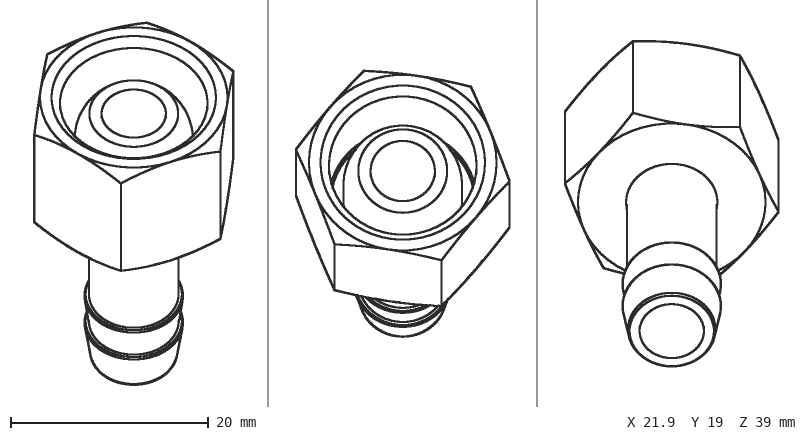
import cadquery as cq
import math

total_height = 39.0
nut_height = 15.0
hexagon_sides = 6
across_flats = 19.0
corner_chamfer_angle = 30.0
nut_bottom = total_height - nut_height

bore_radius = 14.95 / 2
mouth_chamfer = 0.85
cavity_depth = 11.0
floor_radius = 14.5 / 2
floor_z = total_height - cavity_depth
floor_chamfer = bore_radius - floor_radius

ball_radius = 12.0 / 2
nose_face_radius = 9.0 / 2
nose_recess = 2.45
nose_top = total_height - nose_recess
ball_center_z = nose_top - math.sqrt(ball_radius**2 - nose_face_radius**2)

through_radius = 6.5 / 2
stem_radius = 9.1 / 2
collar_radius = 9.25 / 2
collar_height = 0.3
barb_radius = 10.0 / 2
barb_tops = (4.9, 9.0)
barb_edge = 0.25
barb_edge_inset = 0.1
tip_radius = 8.85 / 2
tip_chamfer = 0.3
tip_chamfer_inset = 0.15


def revolve_profile(points):
    """Revolve a closed (radius, height) outline around the Z axis."""
    return cq.Workplane("XZ").polyline(points).close().revolve(360, (0, 0), (0, 1))


def make_nut():
    """Hexagon with both ends turned to a cone that meets the flats."""
    flat_radius = across_flats / 2
    corner_radius = flat_radius / math.cos(math.pi / hexagon_sides)
    chamfer_height = (corner_radius - flat_radius) * math.tan(math.radians(corner_chamfer_angle))
    hexagon = (
        cq.Workplane("XY", origin=(0, 0, nut_bottom))
        .polygon(hexagon_sides, 2 * corner_radius)
        .extrude(nut_height)
    )
    turned_envelope = revolve_profile([
        (0, nut_bottom),
        (flat_radius, nut_bottom),
        (corner_radius, nut_bottom + chamfer_height),
        (corner_radius, total_height - chamfer_height),
        (flat_radius, total_height),
        (0, total_height),
    ])
    return hexagon.intersect(turned_envelope)


def make_cavity():
    """Bore with a chamfered mouth and a small chamfer at its floor."""
    return revolve_profile([
        (0, floor_z),
        (floor_radius, floor_z),
        (bore_radius, floor_z + floor_chamfer),
        (bore_radius, total_height - mouth_chamfer),
        (bore_radius + mouth_chamfer, total_height),
        (0, total_height),
    ])


def make_nose():
    """Cylinder ending in a ball with a flat sealing face."""
    arc_angle = math.acos(nose_face_radius / ball_radius) / 2
    arc_middle = (
        ball_radius * math.cos(arc_angle),
        ball_center_z + ball_radius * math.sin(arc_angle),
    )
    return (
        cq.Workplane("XZ")
        .moveTo(0, nut_bottom)
        .lineTo(ball_radius, nut_bottom)
        .lineTo(ball_radius, ball_center_z)
        .threePointArc(arc_middle, (nose_face_radius, nose_top))
        .lineTo(0, nose_top)
        .close()
        .revolve(360, (0, 0), (0, 1))
    )


def make_stem():
    """Barbed hose stem with a chamfered tip and a flared root at the nut."""
    outline = [
        (0, 0),
        (tip_radius - tip_chamfer_inset, 0),
        (tip_radius, tip_chamfer),
    ]
    for barb_top in barb_tops:
        outline += [
            (barb_radius, barb_top - barb_edge),
            (barb_radius - barb_edge_inset, barb_top),
            (stem_radius, barb_top),
        ]
    outline += [
        (stem_radius, nut_bottom - collar_height),
        (collar_radius, nut_bottom),
        (0, nut_bottom),
    ]
    return revolve_profile(outline)


through_hole = cq.Workplane("XY").circle(through_radius).extrude(total_height)
result = make_nut().cut(make_cavity()).union(make_nose()).union(make_stem()).cut(through_hole)